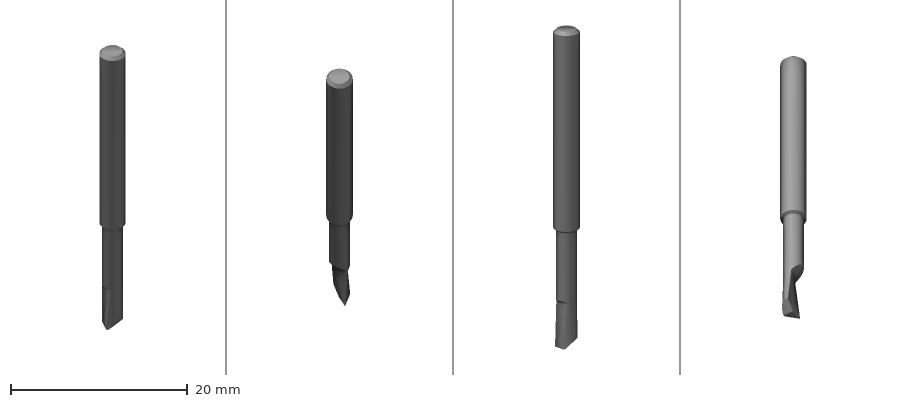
import cadquery as cq
import math

total_length = 38.0
shank_radius = 1.5
shank_bottom = 14.25
top_chamfer = 0.38

neck_radius = 1.18
step_height = 0.23
neck_bottom = 5.55

head_radius = 1.33
tip_x = -1.33
tip_heel_x = -0.1
root_edge_y = -0.5
root_heel_x = 0.35
root_back_y = 0.45

end_slope = math.radians(3)
end_relief_angle = 4
corner_start_x = 0.1
cutter_margin = 0.75


def circle_offset(radius, coordinate):
    """Distance from the axis plane to a circle at the given other coordinate."""
    return math.sqrt(radius**2 - coordinate**2)


def head_section(edge, heel, back, radius):
    """Points of a section: two flat sides and one arc, with the arc's middle point."""
    heel_angle = math.atan2(heel[1], heel[0])
    back_angle = math.atan2(back[1], back[0])
    middle_angle = (heel_angle + back_angle) / 2
    middle = (radius * math.cos(middle_angle), radius * math.sin(middle_angle))
    return edge, heel, middle, back


def draw_section(work, section):
    edge, heel, middle, back = section
    return work.moveTo(*edge).lineTo(*heel).threePointArc(middle, back).close()


def shoulder_cutter(start, end):
    """45 degree run-out above a flat, on the left of the line from start to end."""
    reach = 3 * neck_radius
    side = cq.Vector(start[1] - end[1], end[0] - start[0], 0)
    along = side.cross(cq.Vector(0, 0, 1))
    plane = cq.Plane(origin=(*start, neck_bottom), xDir=side, normal=along)
    profile = cq.Workplane(plane).polyline([(0, 0), (reach, 0), (reach, reach)]).close()
    return profile.extrude(reach, both=True)


body = (
    cq.Workplane("XZ")
    .moveTo(0, neck_bottom)
    .lineTo(neck_radius, neck_bottom)
    .lineTo(neck_radius, shank_bottom - step_height)
    .lineTo(shank_radius, shank_bottom)
    .lineTo(shank_radius, total_length - top_chamfer)
    .lineTo(shank_radius - top_chamfer, total_length)
    .lineTo(0, total_length)
    .close()
    .revolve(360, (0, 0, 0), (0, 1, 0))
)

root_edge = (-circle_offset(neck_radius, root_edge_y), root_edge_y)
root_heel = (root_heel_x, -circle_offset(neck_radius, root_heel_x))
root_back = (circle_offset(neck_radius, root_back_y), root_back_y)
root_section = head_section(root_edge, root_heel, root_back, neck_radius)

tip_edge = (tip_x, 0)
tip_heel = (tip_heel_x, -circle_offset(head_radius, tip_heel_x))
tip_back = (head_radius, 0)
tip_section = head_section(tip_edge, tip_heel, tip_back, head_radius)

body = body.cut(shoulder_cutter(root_edge, root_back))
body = body.cut(shoulder_cutter(root_heel, root_edge))

head = draw_section(cq.Workplane("XY"), tip_section)
head = draw_section(head.workplane(offset=neck_bottom), root_section).loft(ruled=True)

corner_start_z = (corner_start_x - tip_x) * math.tan(end_slope)
outer_x = head_radius + cutter_margin
end_cutter = (
    cq.Workplane("XZ")
    .moveTo(tip_x, 0)
    .lineTo(corner_start_x, corner_start_z)
    .lineTo(outer_x, corner_start_z + outer_x - corner_start_x)
    .lineTo(outer_x, -cutter_margin)
    .lineTo(tip_x, -cutter_margin)
    .close()
    .extrude(head_radius + cutter_margin, both=True)
    .rotate((0, 0, 0), (1, 0, 0), -end_relief_angle)
)

result = body.union(head.cut(end_cutter))